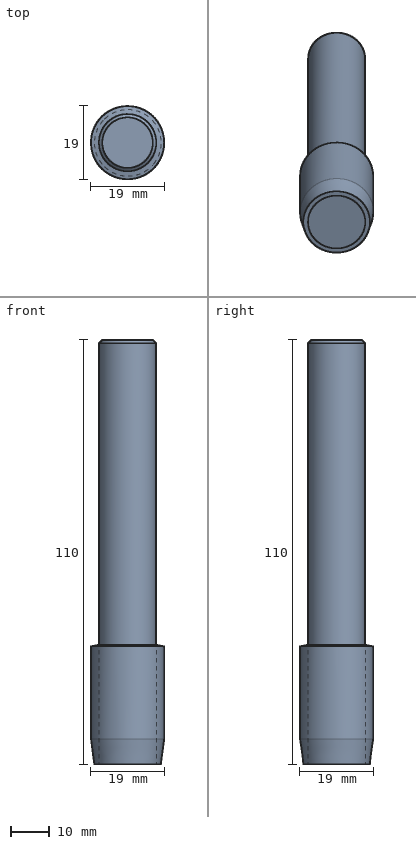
import cadquery as cq

total_height = 110.0

rod_radius = 14.8 / 2
rod_chamfer = 0.9

sleeve_radius = 19.0 / 2
sleeve_tip_radius = 17.3 / 2
sleeve_shoulder_height = 30.6
sleeve_taper_height = 6.6
sleeve_rim_rise = 0.4


def make_rod():
    """Round rod over the full height with a chamfered upper end."""
    return (
        cq.Workplane("XY")
        .circle(rod_radius)
        .extrude(total_height)
        .faces(">Z")
        .chamfer(rod_chamfer)
    )


def make_sleeve():
    """Sleeve around the rod's lower end, with a tapered foot and a conical rim."""
    return (
        cq.Workplane("XZ")
        .moveTo(rod_radius, 0)
        .lineTo(sleeve_tip_radius, 0)
        .lineTo(sleeve_radius, sleeve_taper_height)
        .lineTo(sleeve_radius, sleeve_shoulder_height)
        .lineTo(rod_radius, sleeve_shoulder_height + sleeve_rim_rise)
        .close()
        .revolve(360, (0, 0, 0), (0, 1, 0))
    )


rod = make_rod()
sleeve = make_sleeve()

result = cq.Compound.makeCompound([rod.val(), sleeve.val()])